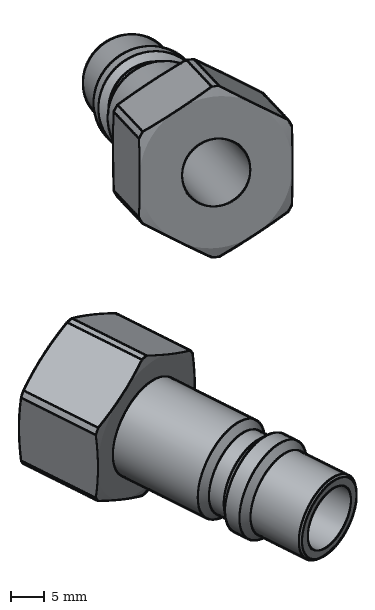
import cadquery as cq
import math

total_length = 50.0
bore_diameter = 10.7

tip_diameter = 14.25
tip_chamfer = 0.35
neck_diameter = 14.2
body_diameter = 16.65
collar_start = 9.55
collar_end = 14.7
body_start = 17.5
shoulder_bevel_length = 1.2

across_flats = 24.0
corner_diameter = 27.05
hex_length = 15.1
hex_bevel_angle = 15.0

hex_start = total_length - hex_length
tip_radius = tip_diameter / 2
neck_radius = neck_diameter / 2
body_radius = body_diameter / 2
flat_radius = across_flats / 2
corner_radius = corner_diameter / 2


def revolve_about_x(points):
    """Revolve a closed (x, radius) outline about the X axis."""
    return cq.Workplane("XY").polyline(points).close().revolve(360, (0, 0, 0), (1, 0, 0))


def make_stem():
    """Tip, bevelled locking collar, neck and body."""
    return revolve_about_x([
        (0, 0),
        (0, tip_radius - tip_chamfer),
        (tip_chamfer, tip_radius),
        (collar_start, tip_radius),
        (collar_start + shoulder_bevel_length, body_radius),
        (collar_end - shoulder_bevel_length, body_radius),
        (collar_end, neck_radius),
        (body_start, neck_radius),
        (body_start + shoulder_bevel_length, body_radius),
        (total_length, body_radius),
        (total_length, 0),
    ])


def make_hex():
    """Hexagon with flats facing Y, turned corners and conical bevels at both ends."""
    sharp_corner_diameter = across_flats / math.cos(math.radians(30))
    prism = (
        cq.Workplane("YZ", origin=(hex_start, 0, 0))
        .transformed(rotate=(0, 0, 90))
        .polygon(6, sharp_corner_diameter)
        .extrude(hex_length)
    )
    bevel_length = (corner_radius - flat_radius) * math.tan(math.radians(hex_bevel_angle))
    envelope = revolve_about_x([
        (hex_start, 0),
        (hex_start, flat_radius),
        (hex_start + bevel_length, corner_radius),
        (total_length - bevel_length, corner_radius),
        (total_length, flat_radius),
        (total_length, 0),
    ])
    return prism.intersect(envelope)


bore = cq.Workplane("YZ").circle(bore_diameter / 2).extrude(total_length)
result = make_stem().union(make_hex()).cut(bore)